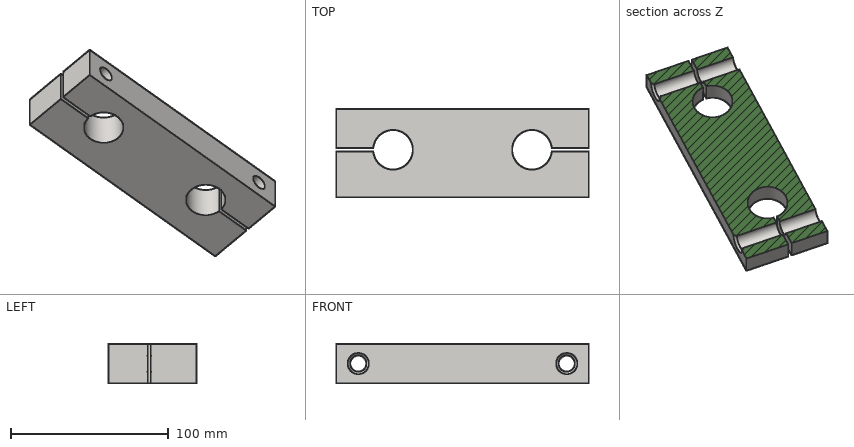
import cadquery as cq

length = 160.0
width = 56.0
height = 25.0

bore_diameter = 25.0
bore_spacing = 88.0
bore_offset_y = 2.0
slit_width = 2.0

screw_spacing = 132.0
screw_diameter = 10.0
sink_diameter = 13.5
sink_depth = (sink_diameter - screw_diameter) / 2


def make_block():
    """Plain block centred on the origin."""
    return cq.Workplane("XY").box(length, width, height)


def make_clamp_cut(side):
    """Vertical bore and the slit from it to the end face; side is -1 or 1."""
    bore_x = side * bore_spacing / 2
    slit_length = (length - bore_spacing) / 2
    slit_x = bore_x + side * slit_length / 2
    bore = cq.Workplane("XY").cylinder(height, bore_diameter / 2).translate((bore_x, bore_offset_y, 0))
    slit = cq.Workplane("XY").box(slit_length, slit_width, height).translate((slit_x, bore_offset_y, 0))
    return bore.union(slit)


def make_screw_cut(side):
    """Through hole along Y, countersunk at the -Y face."""
    half_width = width / 2
    profile = [
        (0, -half_width),
        (sink_diameter / 2, -half_width),
        (screw_diameter / 2, -half_width + sink_depth),
        (screw_diameter / 2, half_width),
        (0, half_width),
    ]
    hole = cq.Workplane("XY").polyline(profile).close().revolve(360, (0, 0), (0, 1))
    return hole.translate((side * screw_spacing / 2, 0, 0))


result = make_block()
for side in (-1, 1):
    result = result.cut(make_clamp_cut(side))
    result = result.cut(make_screw_cut(side))